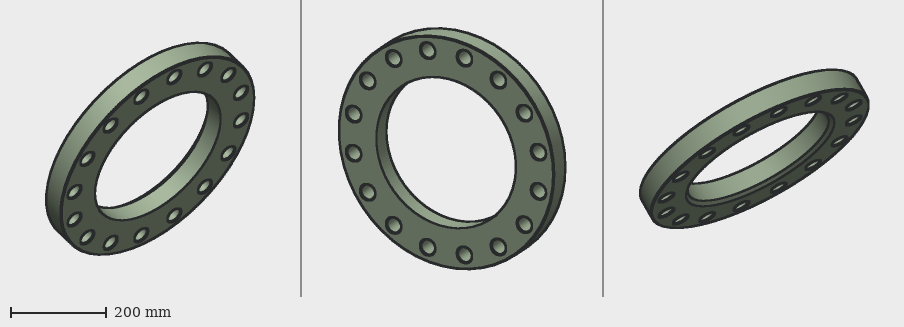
import cadquery as cq

outer_diameter = 515.0
thickness = 52.0
bore_diameter = 333.0
rim_chamfer = 2.0

bore_chamfer = 8.0

hole_count = 16
hole_diameter = 33.0
hole_chamfer = 2.0
bolt_circle_diameter = 450.0

half_pitch_angle = 360 / hole_count / 2
front_x = -thickness / 2
back_x = thickness / 2


def make_ring():
    """Flat ring with both outer edges chamfered and a chamfered bore."""
    disc = (
        cq.Workplane("YZ", origin=(front_x, 0, 0))
        .circle(outer_diameter / 2)
        .extrude(thickness)
        .edges()
        .chamfer(rim_chamfer)
    )
    ring = disc.faces(">X").workplane().hole(bore_diameter)
    bore_edge = cq.selectors.RadiusNthSelector(0)
    return ring.faces("<X").edges(bore_edge).chamfer(bore_chamfer)


def make_hole_cutter():
    """Solid of one bolt hole at the ring axis, flared at both faces."""
    hole_radius = hole_diameter / 2
    mouth_radius = hole_radius + hole_chamfer
    return (
        cq.Workplane("XY")
        .moveTo(front_x, 0)
        .lineTo(front_x, mouth_radius)
        .lineTo(front_x + hole_chamfer, hole_radius)
        .lineTo(back_x - hole_chamfer, hole_radius)
        .lineTo(back_x, mouth_radius)
        .lineTo(back_x, 0)
        .close()
        .revolve(360, (0, 0, 0), (1, 0, 0))
    )


def cut_bolt_holes(ring):
    """Cut the full circle of bolt holes through the ring."""
    cutter = make_hole_cutter().translate((0, 0, bolt_circle_diameter / 2))
    for index in range(hole_count):
        angle = half_pitch_angle * (2 * index + 1)
        ring = ring.cut(cutter.rotate((0, 0, 0), (1, 0, 0), angle))
    return ring


result = cut_bolt_holes(make_ring())